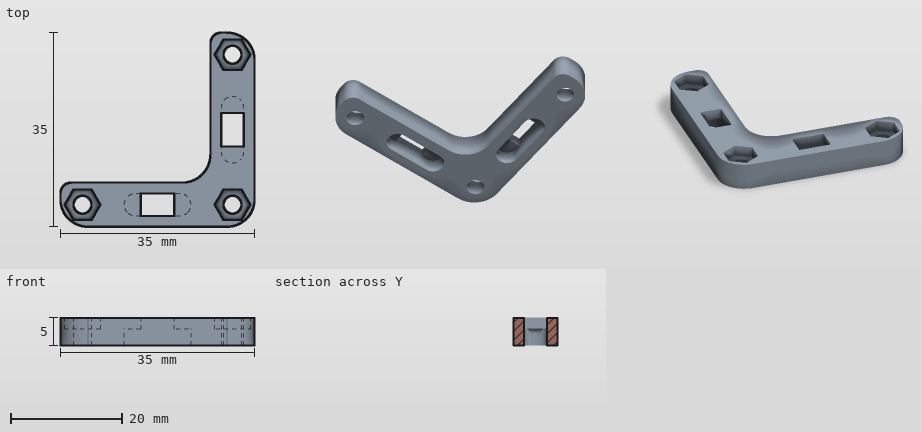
import cadquery as cq

leg_length = 35.0
leg_width = 8.0
thickness = 5.0

outer_radius = 5.0
inner_corner_radius = 5.0
tip_radius = 2.0

hole_diameter = 3.2
nut_corner_diameter = 6.4
nut_depth = 2.0

window_length = 6.0
slot_width = 4.0
slot_length = 12.0
window_depth = 2.0
slot_depth = thickness - window_depth

half = leg_length / 2
inner_edge = half - leg_width
leg_axis = half - leg_width / 2

hole_centers = [
    (-leg_axis, -leg_axis),
    (leg_axis, -leg_axis),
    (leg_axis, leg_axis),
]


def round_edge(body, x, y, radius):
    """Round the vertical edge that stands at (x, y)."""
    edge = cq.selectors.NearestToPointSelector((x, y, thickness / 2))
    return body.edges("|Z").edges(edge).fillet(radius)


def make_body():
    """L-shaped plate with rounded corners."""
    outline = [
        (-half, -half),
        (half, -half),
        (half, half),
        (inner_edge, half),
        (inner_edge, -inner_edge),
        (-half, -inner_edge),
    ]
    body = cq.Workplane("XY").polyline(outline).close().extrude(thickness)
    for x, y in [(-half, -half), (half, -half), (half, half)]:
        body = round_edge(body, x, y, outer_radius)
    for x, y in [(inner_edge, half), (-half, -inner_edge)]:
        body = round_edge(body, x, y, tip_radius)
    return round_edge(body, inner_edge, -inner_edge, inner_corner_radius)


def cut_screw_holes(body):
    """Through holes, each with a nut pocket sunk from the top face."""
    holes = cq.Workplane("XY").pushPoints(hole_centers).circle(hole_diameter / 2).extrude(thickness)
    pockets = (
        cq.Workplane("XY", origin=(0, 0, thickness - nut_depth))
        .pushPoints(hole_centers)
        .polygon(6, nut_corner_diameter)
        .extrude(nut_depth)
    )
    return body.cut(holes).cut(pockets)


def make_slot_cutter():
    """Stepped opening along X: round-ended slot from below, shorter rectangular window above."""
    slot = cq.Workplane("XY").slot2D(slot_length, slot_width).extrude(slot_depth)
    window = cq.Workplane("XY").rect(window_length, slot_width).extrude(thickness)
    return slot.union(window)


def cut_slots(body):
    """One stepped opening at the middle of each leg, running along the leg."""
    cutter = make_slot_cutter()
    along_x = cutter.translate((0, -leg_axis, 0))
    along_y = cutter.rotate((0, 0, 0), (0, 0, 1), 90).translate((leg_axis, 0, 0))
    return body.cut(along_x).cut(along_y)


result = cut_slots(cut_screw_holes(make_body()))